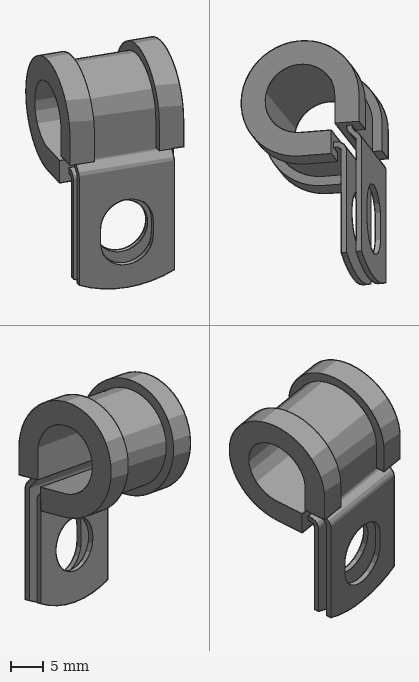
import cadquery as cq
import math

rim_radius = 9.4
bore_radius = 5.55
cushion_width = 18.92
groove_width = 10.8
upper_arm_drop = 4.5
lower_arm_reach = 4.98

strap_thickness = 0.87
strap_radius = 7.9
strap_inner_radius = strap_radius - strap_thickness
strap_width = 15.87
inner_bend_radius = 0.7
outer_bend_radius = inner_bend_radius + strap_thickness

tab_bottom = rim_radius - 36.32
tab_corner_rise = 1.7
hole_diameter = 8.75
back_slot_length = 11.1
hole_height = -17.45
front_tab_face = 7.05
back_tab_face = 9.45
jog_start = -4.6


def extrude_y(profile, width):
    """Extrude an XZ profile symmetrically about the plane Y = 0."""
    return profile.extrude(width / 2, both=True)


def loop(outer_radius, width):
    """C-shaped loop: three quarters of a ring with a straight arm at each end."""
    diagonal = math.sqrt(0.5)
    profile = (
        cq.Workplane("XZ")
        .moveTo(outer_radius, -upper_arm_drop)
        .lineTo(outer_radius, 0)
        .threePointArc((-outer_radius * diagonal, outer_radius * diagonal), (0, -outer_radius))
        .lineTo(lower_arm_reach, -outer_radius)
        .lineTo(lower_arm_reach, -bore_radius)
        .lineTo(0, -bore_radius)
        .threePointArc((-bore_radius * diagonal, bore_radius * diagonal), (bore_radius, 0))
        .lineTo(bore_radius, -upper_arm_drop)
        .close()
    )
    return extrude_y(profile, width)


def front_tab():
    """Strap leaving the lower arm and bending straight down."""
    inner_face = front_tab_face - strap_thickness
    bend_x = front_tab_face - outer_bend_radius
    bend_z = -strap_inner_radius - outer_bend_radius
    profile = (
        cq.Workplane("XZ")
        .moveTo(lower_arm_reach, -strap_inner_radius)
        .lineTo(bend_x, -strap_inner_radius)
        .radiusArc((front_tab_face, bend_z), outer_bend_radius)
        .lineTo(front_tab_face, tab_bottom)
        .lineTo(inner_face, tab_bottom)
        .lineTo(inner_face, bend_z)
        .radiusArc((bend_x, -strap_radius), -inner_bend_radius)
        .lineTo(lower_arm_reach, -strap_radius)
        .close()
    )
    return extrude_y(profile, strap_width)


def back_tab():
    """Strap leaving the upper arm, jogging outwards at 45 degrees, then running down."""
    inner_face = back_tab_face - strap_thickness
    inner_offset = inner_bend_radius * math.sqrt(0.5)
    outer_offset = outer_bend_radius * math.sqrt(0.5)
    upper_center_x = strap_radius + inner_bend_radius
    lower_center_x = inner_face - inner_bend_radius
    jog_end = jog_start - 2 * (inner_offset + outer_offset) - (lower_center_x - upper_center_x)
    profile = (
        cq.Workplane("XZ")
        .moveTo(strap_radius, -upper_arm_drop)
        .lineTo(strap_radius, jog_start)
        .radiusArc((upper_center_x - inner_offset, jog_start - inner_offset), -inner_bend_radius)
        .lineTo(lower_center_x + outer_offset, jog_end + outer_offset)
        .radiusArc((back_tab_face, jog_end), outer_bend_radius)
        .lineTo(back_tab_face, tab_bottom)
        .lineTo(inner_face, tab_bottom)
        .lineTo(inner_face, jog_end)
        .radiusArc((lower_center_x + inner_offset, jog_end + inner_offset), -inner_bend_radius)
        .lineTo(upper_center_x - outer_offset, jog_start - outer_offset)
        .radiusArc((strap_inner_radius, jog_start), outer_bend_radius)
        .lineTo(strap_inner_radius, -upper_arm_drop)
        .close()
    )
    return extrude_y(profile, strap_width)


def tab_outline():
    """Prism along X that trims both tabs to a rounded lower end."""
    half_width = strap_width / 2
    corner_z = tab_bottom + tab_corner_rise
    return (
        cq.Workplane("YZ")
        .moveTo(-half_width, 0)
        .lineTo(-half_width, corner_z)
        .threePointArc((0, tab_bottom), (half_width, corner_z))
        .lineTo(half_width, 0)
        .close()
        .extrude(back_tab_face)
    )


def hole_plane():
    """Workplane facing +X, centred on the bolt axis."""
    return cq.Workplane("YZ").center(0, hole_height)


def front_hole():
    """Round hole for the front tab."""
    return hole_plane().circle(hole_diameter / 2).extrude(back_tab_face)


def back_slot():
    """Upright slot for the back tab."""
    return hole_plane().slot2D(back_slot_length, hole_diameter, 90).extrude(back_tab_face)


result = loop(strap_radius, groove_width)
rim_width = (cushion_width - groove_width) / 2
rim_offset = (groove_width + rim_width) / 2
for side in (-1, 1):
    rim = loop(rim_radius, rim_width).translate((0, side * rim_offset, 0))
    result = result.union(rim)

for tab, opening in ((front_tab(), front_hole()), (back_tab(), back_slot())):
    result = result.union(tab.intersect(tab_outline()).cut(opening))